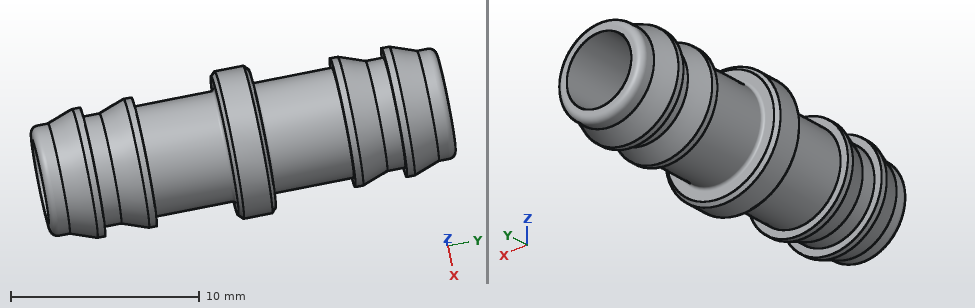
import cadquery as cq

total_length = 22.0
tube_radius = 3.0
bore_radius = 2.25
end_fillet = 0.42

barb_radius = 3.5
barb_cone_length = 1.4
barb_land_length = 0.42
barb_pitch = 2.8
first_barb_inset = 1.0
barbs_per_end = 2

collar_radius = 4.0
collar_width = 2.02
collar_chamfer = 0.25
collar_root_fillet = 0.2

half_length = total_length / 2
collar_face = collar_width / 2


def cylinder(radius, length):
    """Cylinder along Y, centred on the origin."""
    return cq.Workplane("XZ").circle(radius).extrude(length / 2, both=True)


def revolve_about_axis(outline):
    """Solid of revolution about Y from a closed radius-against-Y outline."""
    return outline.revolve(360, (0, 0, 0), (0, 1, 0))


def barb(side, cone_start):
    """Barb on the +Y (side = 1) or -Y (side = -1) end, with its cone starting at cone_start."""
    cone_end = cone_start - barb_cone_length
    land_end = cone_end - barb_land_length
    outline = (
        cq.Workplane("XY")
        .moveTo(bore_radius, side * cone_start)
        .lineTo(tube_radius, side * cone_start)
        .lineTo(barb_radius, side * cone_end)
        .lineTo(barb_radius, side * land_end)
        .lineTo(bore_radius, side * land_end)
        .close()
    )
    return revolve_about_axis(outline)


def collar():
    """Chamfered collar with a concave fillet down to the tube on each face."""
    chamfer_start = collar_face - collar_chamfer
    face_radius = collar_radius - collar_chamfer
    root_radius = tube_radius + collar_root_fillet
    root_end = collar_face + collar_root_fillet
    outline = (
        cq.Workplane("XY")
        .moveTo(bore_radius, root_end)
        .lineTo(tube_radius, root_end)
        .radiusArc((root_radius, collar_face), -collar_root_fillet)
        .lineTo(face_radius, collar_face)
        .lineTo(collar_radius, chamfer_start)
        .lineTo(collar_radius, -chamfer_start)
        .lineTo(face_radius, -collar_face)
        .lineTo(root_radius, -collar_face)
        .radiusArc((tube_radius, -root_end), -collar_root_fillet)
        .lineTo(bore_radius, -root_end)
        .close()
    )
    return revolve_about_axis(outline)


connector = cylinder(tube_radius, total_length).faces("<Y or >Y").edges().fillet(end_fillet)
connector = connector.union(collar())
for side in (1, -1):
    for index in range(barbs_per_end):
        cone_start = half_length - first_barb_inset - index * barb_pitch
        connector = connector.union(barb(side, cone_start))

result = connector.cut(cylinder(bore_radius, total_length))